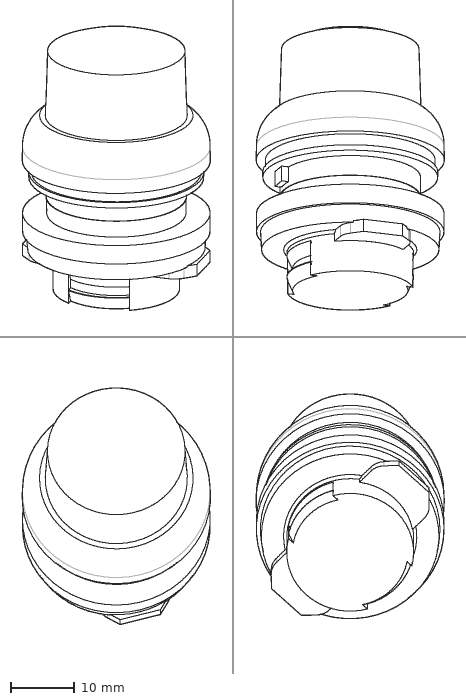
import cadquery as cq
import math

RING_BOTTOM_Z = 6.75
NUT_BOTTOM_Z = 9.7
NUT_TOP_Z = 12.8
NECK_STEP_Z = 15.5
GASKET_BOTTOM_Z = 18.75
GASKET_TOP_Z = 19.65
BEZEL_BOTTOM_Z = 21.6
BEZEL_SHOULDER_Z = 23.9
BEZEL_TOP_Z = 29.15
BUTTON_EDGE_Z = 40.05
OVERALL_HEIGHT = 42.5

STEM_RADIUS = 10.0
STEM_CONE_RADIUS = 10.5
RING_BOTTOM_RADIUS = 14.0
RING_TOP_RADIUS = 14.15
NUT_RADIUS = 14.8
LOWER_NECK_RADIUS = 11.0
UPPER_NECK_RADIUS = 11.1
GASKET_RADIUS = 13.8
GROOVE_RADIUS = 13.4
BEZEL_RADIUS = 29.7 / 2
BEZEL_SHOULDER_RADIUS = 14.8
BEZEL_ROUND_RADIUS = 6.0
BEZEL_TOP_RADIUS = 12.1
BUTTON_BASE_RADIUS = 11.2
BUTTON_EDGE_RADIUS = 10.85

CATCH_WIDTH = 10.1
CATCH_TOP_Z = 5.7
CATCH_GROOVE_TOP_Z = 3.65
CATCH_LEDGE_Z = 2.25
CATCH_LAND = 0.1
CATCH_ROOT_RADIUS = 9.1
CUT_CLEARANCE = 1.0

LUG_REACH = 14.5
LUG_HALF_WIDTH = 5.8
LUG_TIP_HALF_WIDTH = 3.28
LUG_ROUND_RADIUS = 3.0
LUG_CORNER_ANGLE = 45.0
LUG_BOTTOM_Z = 5.0
LUG_TOP_Z = 7.0

KEY_WIDTH = 3.0
KEY_REACH = 12.15
KEY_BOTTOM_Z = 16.3


def arc_middle(start, end, radius):
    """Middle of the minor arc from start to end, bulging to the right of the direction of travel."""
    dx = end[0] - start[0]
    dz = end[1] - start[1]
    chord = math.hypot(dx, dz)
    sag = radius - math.sqrt(radius**2 - (chord / 2) ** 2)
    return (
        (start[0] + end[0]) / 2 + sag * dz / chord,
        (start[1] + end[1]) / 2 - sag * dx / chord,
    )


def turned_body():
    """Stem, ring, nut, neck, gasket, bezel and domed button as one revolved profile."""
    cone_height = STEM_CONE_RADIUS - STEM_RADIUS
    shoulder = (BEZEL_SHOULDER_RADIUS, BEZEL_SHOULDER_Z)
    bezel_top = (BEZEL_TOP_RADIUS, BEZEL_TOP_Z)
    button_edge = (BUTTON_EDGE_RADIUS, BUTTON_EDGE_Z)
    apex = (0, OVERALL_HEIGHT)
    dome_rise = OVERALL_HEIGHT - BUTTON_EDGE_Z
    dome_radius = (BUTTON_EDGE_RADIUS**2 + dome_rise**2) / (2 * dome_rise)
    profile = (
        cq.Workplane("XZ")
        .moveTo(0, 0)
        .lineTo(STEM_RADIUS, 0)
        .lineTo(STEM_RADIUS, RING_BOTTOM_Z - cone_height)
        .lineTo(STEM_CONE_RADIUS, RING_BOTTOM_Z)
        .lineTo(RING_BOTTOM_RADIUS, RING_BOTTOM_Z)
        .lineTo(RING_TOP_RADIUS, NUT_BOTTOM_Z)
        .lineTo(NUT_RADIUS, NUT_BOTTOM_Z)
        .lineTo(NUT_RADIUS, NUT_TOP_Z)
        .lineTo(LOWER_NECK_RADIUS, NUT_TOP_Z)
        .lineTo(LOWER_NECK_RADIUS, NECK_STEP_Z)
        .lineTo(UPPER_NECK_RADIUS, NECK_STEP_Z)
        .lineTo(UPPER_NECK_RADIUS, GASKET_BOTTOM_Z)
        .lineTo(GASKET_RADIUS, GASKET_BOTTOM_Z)
        .lineTo(GASKET_RADIUS, GASKET_TOP_Z)
        .lineTo(GROOVE_RADIUS, GASKET_TOP_Z)
        .lineTo(GROOVE_RADIUS, BEZEL_BOTTOM_Z)
        .lineTo(BEZEL_RADIUS, BEZEL_BOTTOM_Z)
        .lineTo(*shoulder)
        .threePointArc(arc_middle(shoulder, bezel_top, BEZEL_ROUND_RADIUS), bezel_top)
        .lineTo(BUTTON_BASE_RADIUS, BEZEL_TOP_Z)
        .lineTo(*button_edge)
        .threePointArc(arc_middle(button_edge, apex, dome_radius), apex)
        .close()
    )
    return profile.revolve(360, (0, 0, 0), (0, 1, 0))


def catch_notches():
    """Turned saw-tooth cut, limited to the width of the two catches."""
    outside = STEM_RADIUS + CUT_CLEARANCE
    cutter = (
        cq.Workplane("XZ")
        .moveTo(outside, 0)
        .lineTo(CATCH_ROOT_RADIUS, 0)
        .lineTo(STEM_RADIUS, CATCH_LEDGE_Z - CATCH_LAND)
        .lineTo(STEM_RADIUS, CATCH_LEDGE_Z)
        .lineTo(CATCH_ROOT_RADIUS, CATCH_LEDGE_Z)
        .lineTo(CATCH_ROOT_RADIUS, CATCH_GROOVE_TOP_Z)
        .lineTo(STEM_RADIUS, CATCH_TOP_Z)
        .lineTo(outside, CATCH_TOP_Z)
        .close()
        .revolve(360, (0, 0, 0), (0, 1, 0))
    )
    catch_zone = cq.Workplane("XY").box(
        CATCH_WIDTH, 2 * outside, CATCH_TOP_Z, centered=(True, True, False)
    )
    return cutter.intersect(catch_zone)


def lugs():
    """Bar across the stem whose ends form both lugs: angled corners blended into the sides."""
    round_run = LUG_ROUND_RADIUS * math.sin(math.radians(LUG_CORNER_ANGLE))
    round_rise = LUG_ROUND_RADIUS * (1 - math.cos(math.radians(LUG_CORNER_ANGLE)))
    corner_y = LUG_HALF_WIDTH - round_rise
    corner_x = LUG_REACH - (corner_y - LUG_TIP_HALF_WIDTH) / math.tan(math.radians(LUG_CORNER_ANGLE))
    side_x = corner_x - round_run
    round_start = (side_x, LUG_HALF_WIDTH)
    round_end = (corner_x, corner_y)
    round_middle = arc_middle(round_end, round_start, LUG_ROUND_RADIUS)
    quarter = (
        cq.Workplane("XY")
        .workplane(offset=LUG_BOTTOM_Z)
        .moveTo(0, 0)
        .lineTo(0, LUG_HALF_WIDTH)
        .lineTo(*round_start)
        .threePointArc(round_middle, round_end)
        .lineTo(LUG_REACH, LUG_TIP_HALF_WIDTH)
        .lineTo(LUG_REACH, 0)
        .close()
        .extrude(LUG_TOP_Z - LUG_BOTTOM_Z)
    )
    half = quarter.union(quarter.mirror("XZ"))
    return half.union(half.mirror("YZ"))


def key():
    """Rectangular key reaching from inside the neck to the +Y side."""
    return (
        cq.Workplane("XY")
        .workplane(offset=KEY_BOTTOM_Z)
        .center(0, KEY_REACH / 2)
        .rect(KEY_WIDTH, KEY_REACH)
        .extrude(GASKET_BOTTOM_Z - KEY_BOTTOM_Z)
    )


result = turned_body().cut(catch_notches()).union(lugs()).union(key())